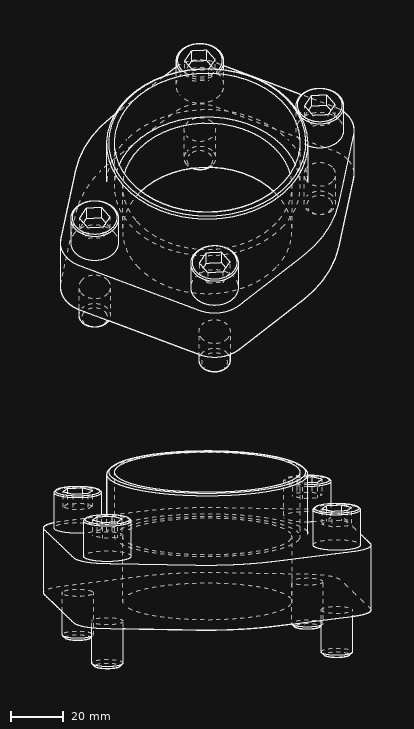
import cadquery as cq
import math

plate_length = 115.0
plate_width = 101.0
plate_thickness = 25.2
bolt_spacing_x = 50.7
bolt_spacing_y = 89.0
side_radius = plate_width / 2
corner_x = bolt_spacing_x / 2
corner_y = bolt_spacing_y / 2
corner_radius = plate_length / 2 - corner_y

socket_diameter = 76.1
socket_height = 25.0
socket_bore = 70.3
through_bore = 64.0
socket_fillet = 1.5
socket_chamfer = 0.8

head_diameter = 18.0
head_height = 14.3
head_chamfer = 0.6
shank_diameter = 12.0
shank_projection = 17.4
shank_chamfer = 1.2
hex_across_flats = 10.0
hex_depth = 6.0


def make_plate():
    """Plate with round sides joined to round corners by tangent flanks."""
    center_distance = math.hypot(corner_x, corner_y)
    flank_angle = math.atan2(corner_y, corner_x) - math.acos(
        (side_radius - corner_radius) / center_distance
    )
    side_x = side_radius * math.cos(flank_angle)
    side_y = side_radius * math.sin(flank_angle)
    flank_x = corner_x + corner_radius * math.cos(flank_angle)
    flank_y = corner_y + corner_radius * math.sin(flank_angle)
    middle_angle = (flank_angle + math.pi / 2) / 2
    middle_x = corner_x + corner_radius * math.cos(middle_angle)
    middle_y = corner_y + corner_radius * math.sin(middle_angle)
    end_y = plate_length / 2
    return (
        cq.Workplane("XY")
        .moveTo(side_x, -side_y)
        .threePointArc((side_radius, 0), (side_x, side_y))
        .lineTo(flank_x, flank_y)
        .threePointArc((middle_x, middle_y), (corner_x, end_y))
        .lineTo(-corner_x, end_y)
        .threePointArc((-middle_x, middle_y), (-flank_x, flank_y))
        .lineTo(-side_x, side_y)
        .threePointArc((-side_radius, 0), (-side_x, -side_y))
        .lineTo(-flank_x, -flank_y)
        .threePointArc((-middle_x, -middle_y), (-corner_x, -end_y))
        .lineTo(corner_x, -end_y)
        .threePointArc((middle_x, -middle_y), (flank_x, -flank_y))
        .close()
        .extrude(plate_thickness)
    )


def make_socket():
    """Tube on the plate, revolved with its root fillet and rim chamfer."""
    radius = socket_diameter / 2
    rim_z = plate_thickness + socket_height
    fillet_offset = socket_fillet * (1 - math.sqrt(0.5))
    return (
        cq.Workplane("XZ")
        .moveTo(0, plate_thickness)
        .lineTo(radius + socket_fillet, plate_thickness)
        .threePointArc(
            (radius + fillet_offset, plate_thickness + fillet_offset),
            (radius, plate_thickness + socket_fillet),
        )
        .lineTo(radius, rim_z - socket_chamfer)
        .lineTo(radius - socket_chamfer, rim_z)
        .lineTo(0, rim_z)
        .close()
        .revolve(360, (0, 0), (0, 1))
    )


def make_stepped_bore():
    """Bore through the plate, widening to the socket bore at the plate top."""
    lower = cq.Workplane("XY").circle(through_bore / 2).extrude(plate_thickness)
    upper = (
        cq.Workplane("XY")
        .workplane(offset=plate_thickness)
        .circle(socket_bore / 2)
        .extrude(socket_height)
    )
    return lower.union(upper)


def make_bolt():
    """Bolt on the Z axis, running from below the plate to its head on top."""
    head = (
        cq.Workplane("XY")
        .workplane(offset=plate_thickness)
        .circle(head_diameter / 2)
        .extrude(head_height)
        .faces(">Z")
        .chamfer(head_chamfer)
    )
    shank = (
        cq.Workplane("XY")
        .workplane(offset=-shank_projection)
        .circle(shank_diameter / 2)
        .extrude(shank_projection + plate_thickness)
        .faces("<Z")
        .chamfer(shank_chamfer)
    )
    hex_across_corners = hex_across_flats / math.cos(math.pi / 6)
    hex_recess = (
        cq.Workplane("XY")
        .workplane(offset=plate_thickness + head_height - hex_depth)
        .polygon(6, hex_across_corners)
        .extrude(hex_depth)
        .rotate((0, 0, 0), (0, 0, 1), 30)
    )
    return head.union(shank).cut(hex_recess)


result = make_plate().union(make_socket()).cut(make_stepped_bore())
bolt = make_bolt()
for x in (-corner_x, corner_x):
    for y in (-corner_y, corner_y):
        result = result.union(bolt.translate((x, y, 0)))